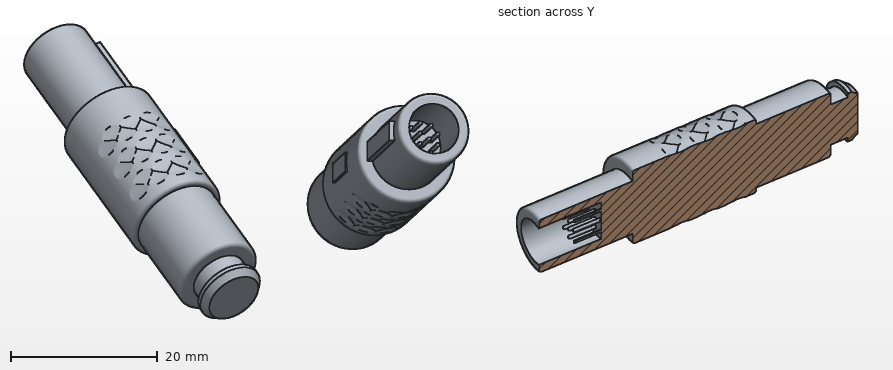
import cadquery as cq
import math

TUBE_END = 15.05
BODY_END = 35.0
REAR_END = 47.0
NECK_END = 49.65
TOTAL_LENGTH = 51.3

TUBE_RADIUS = 10.0 / 2
BODY_RADIUS = 13.7 / 2
REAR_RADIUS = 6.0
NECK_RADIUS = 3.9
COLLAR_RADIUS = 4.6

EDGE_FILLET = 0.5
REAR_FILLET = 0.6
COLLAR_CHAMFER_LENGTH = 1.05
COLLAR_CHAMFER_HEIGHT = 0.8

BORE_RADIUS = 3.5
BORE_DEPTH = 10.0
PIN_RADIUS = 0.25
PIN_LENGTH = 4.1
OUTER_PIN_COUNT = 9
OUTER_PIN_CIRCLE_RADIUS = 2.2
INNER_PIN_COUNT = 3
INNER_PIN_CIRCLE_RADIUS = 1.7 / 2

KEY_START = 2.6
RAISED_BLOCK_WIDTH = 2.65
KEY_TOP = 5.6
PAD_START = 21.5
PAD_LENGTH = 7.0
PAD_HEIGHT = 0.15
PAD_TOP = BODY_RADIUS + PAD_HEIGHT

GROUP_COUNT = 3
GROUP_PITCH = 4.5
FIRST_GROUP_X = 22.45
COLUMN_SPACING = 1.0
DIMPLE_PITCH_ANGLE = 26.0
LEFT_COLUMN_COUNT = 3
RIGHT_COLUMN_COUNT = 4
DIMPLE_DEPTH = 0.2
DIMPLE_RADIUS = 4.0


def cylinder_along_x(start, end, radius):
    return cq.Workplane("YZ").workplane(offset=start).circle(radius).extrude(end - start)


def make_shell():
    tube = cylinder_along_x(0, TUBE_END, TUBE_RADIUS).faces("<X").edges().fillet(EDGE_FILLET)
    body = cylinder_along_x(TUBE_END, BODY_END, BODY_RADIUS).faces("<X or >X").edges().fillet(EDGE_FILLET)
    rear = cylinder_along_x(BODY_END, REAR_END, REAR_RADIUS).faces(">X").edges().fillet(REAR_FILLET)
    neck = cylinder_along_x(REAR_END, NECK_END, NECK_RADIUS)
    collar = make_collar()
    return tube.union(body).union(rear).union(neck).union(collar)


def make_collar():
    half_section = [
        (NECK_END, 0),
        (NECK_END, COLLAR_RADIUS),
        (TOTAL_LENGTH - COLLAR_CHAMFER_LENGTH, COLLAR_RADIUS),
        (TOTAL_LENGTH, COLLAR_RADIUS - COLLAR_CHAMFER_HEIGHT),
        (TOTAL_LENGTH, 0),
    ]
    return cq.Workplane("XY").polyline(half_section).close().revolve(360, (0, 0, 0), (1, 0, 0))


def block_on_positive_y(start, end, top):
    """Flat-topped block of the shared width, reaching from the axis out to y = top."""
    return cq.Workplane("XY").box(
        end - start, top, RAISED_BLOCK_WIDTH, centered=(False, False, True)
    ).translate((start, 0, 0))


def make_dimple_cutters():
    """Cylinders lying across the surface, each sinking DIMPLE_DEPTH into the body."""
    axis_height = BODY_RADIUS - DIMPLE_DEPTH + DIMPLE_RADIUS
    half_length = math.sqrt(BODY_RADIUS**2 - (BODY_RADIUS - DIMPLE_DEPTH) ** 2) + DIMPLE_DEPTH
    cutters = []
    for group in range(GROUP_COUNT):
        group_x = FIRST_GROUP_X + group * GROUP_PITCH
        for side, count in ((-1, LEFT_COLUMN_COUNT), (1, RIGHT_COLUMN_COUNT)):
            cutter = cq.Solid.makeCylinder(
                DIMPLE_RADIUS,
                2 * half_length,
                cq.Vector(group_x + side * COLUMN_SPACING / 2, -half_length, axis_height),
                cq.Vector(0, 1, 0),
            )
            for row in range(count):
                angle = (row - (count - 1) / 2) * DIMPLE_PITCH_ANGLE
                for face_angle in (0, 180):
                    cutters.append(
                        cutter.rotate(cq.Vector(0, 0, 0), cq.Vector(1, 0, 0), face_angle + angle)
                    )
    return cutters


def make_pin():
    """Pin on the X axis with a hemispherical tip, rooted in the floor of the bore."""
    pin = cylinder_along_x(BORE_DEPTH - PIN_LENGTH, BORE_DEPTH + PIN_RADIUS, PIN_RADIUS)
    tip = cq.Workplane("XY").sphere(PIN_RADIUS).translate((BORE_DEPTH - PIN_LENGTH, 0, 0))
    return pin.union(tip)


def add_pin_circle(part, count, circle_radius, first_angle):
    pin = make_pin().translate((0, circle_radius, 0))
    for index in range(count):
        angle = first_angle + index * 360 / count
        part = part.union(pin.rotate((0, 0, 0), (1, 0, 0), angle))
    return part


result = make_shell()
for dimple_cutter in make_dimple_cutters():
    result = result.cut(cq.Workplane(obj=dimple_cutter))
result = result.union(block_on_positive_y(KEY_START, TUBE_END, KEY_TOP))
result = result.union(block_on_positive_y(PAD_START, PAD_START + PAD_LENGTH, PAD_TOP))
result = result.cut(cylinder_along_x(0, BORE_DEPTH, BORE_RADIUS))
result = add_pin_circle(result, OUTER_PIN_COUNT, OUTER_PIN_CIRCLE_RADIUS, 0)
result = add_pin_circle(result, INNER_PIN_COUNT, INNER_PIN_CIRCLE_RADIUS, 180)